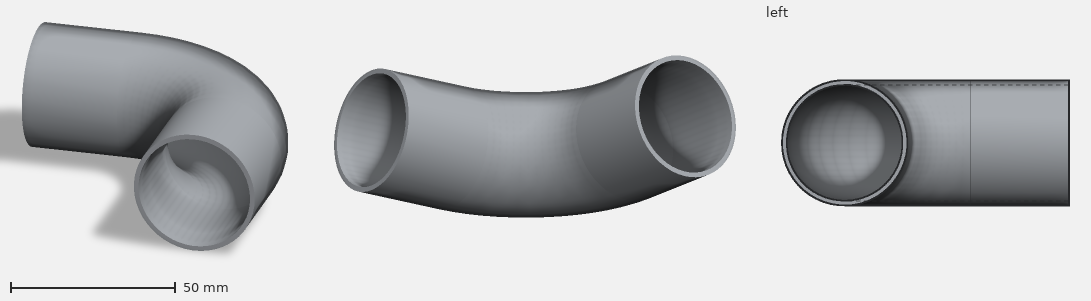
import cadquery as cq

overall_length = 87.15
outer_diameter = 38.1
inner_diameter = 35.1
bend_radius = outer_diameter

straight_length = overall_length - bend_radius - outer_diameter / 2


def elbow_centreline():
    """Straight leg along +X, quarter bend, then straight leg along -Y."""
    return (
        cq.Workplane("XY")
        .lineTo(straight_length, 0)
        .tangentArcPoint((bend_radius, -bend_radius))
        .line(0, -straight_length)
    )


pipe_section = cq.Workplane("YZ").circle(outer_diameter / 2).circle(inner_diameter / 2)
result = pipe_section.sweep(elbow_centreline())